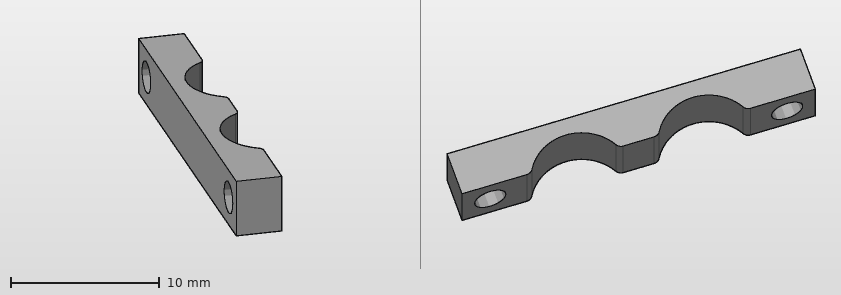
import cadquery as cq

length = 25.0
depth = 3.18
height = 4.0

hole_diameter = 2.2
hole_spacing = 21.0

groove_spacing = 9.0
groove_radius = 3.4
groove_floor = 1.18
lip_radius = 0.5


def make_bar():
    """Plain bar, centred on X and Z, with its front face at Y = 0."""
    return cq.Workplane("XY").box(length, depth, height, centered=(True, False, True))


def cut_grooves(bar):
    """Cut the two vertical grooves and round the lips where they meet the back face."""
    groove_centre_y = groove_floor + groove_radius
    grooves = (
        cq.Workplane("XY")
        .workplane(offset=-height / 2)
        .pushPoints([(side * groove_spacing / 2, groove_centre_y) for side in (-1, 1)])
        .circle(groove_radius)
        .extrude(height)
    )
    lip_zone = cq.selectors.BoxSelector(
        (-length / 2 + hole_diameter, groove_centre_y - groove_radius / 2, -height),
        (length / 2 - hole_diameter, groove_centre_y, height),
    )
    return bar.cut(grooves).edges("|Z").edges(lip_zone).fillet(lip_radius)


def cut_holes(bar):
    """Drill the two holes through the bar from front to back."""
    drills = (
        cq.Workplane("XZ")
        .pushPoints([(side * hole_spacing / 2, 0) for side in (-1, 1)])
        .circle(hole_diameter / 2)
        .extrude(-depth)
    )
    return bar.cut(drills)


result = cut_holes(cut_grooves(make_bar()))